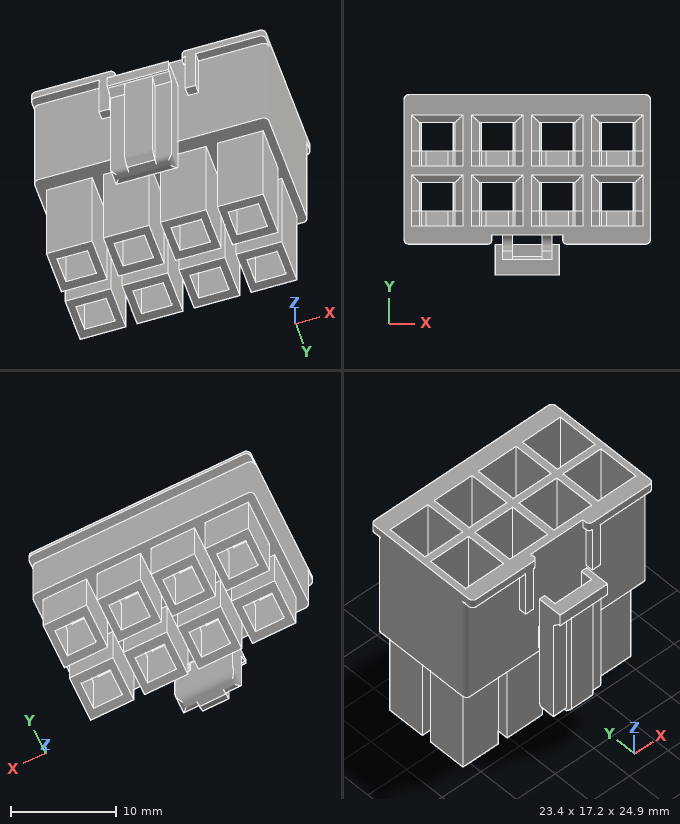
import cadquery as cq
import math


TOTAL_HEIGHT = 24.92
WIDTH = 23.45
FLANGE_DEPTH = 14.25
FLANGE_THICKNESS = 1.02
FLANGE_CORNER_RADIUS = 0.5
NOTCH_CORNER_RADIUS = 0.42
FLANGE_OVERHANG = 0.87
NOTCH_WIDTH = 6.73
BODY_BOTTOM = 10.96
BODY_CORNER_RADIUS = 0.52

RAIL_WIDTH = 1.05
RAIL_INNER_X = NOTCH_WIDTH / 2 + NOTCH_CORNER_RADIUS
RAIL_BOTTOM = 18.42

COLUMNS = 4
ROWS = 2
PITCH = 5.7
PRONG_SIZE = 4.59
PRONG_ROWS_Y = 0.27
CAVITY_SIZE = 4.88
CAVITY_ROWS_Y = -0.1
FUNNEL_TOP = 14.85
FUNNEL_INSET = 0.75
HOLE_WIDTH = 3.05
SHELF_DEPTH = 1.45
SHELF_STEP = 0.25
RAMP_WIDTH = 2.1

LEVER_WIDTH = 6.13
LEVER_TOP = 19.25
LEVER_BOTTOM = 4.3
LEVER_THICKNESS = 1.97
LEVER_BACK_RADIUS = 1.02
LEVER_EDGE_RADIUS = 0.52
HOOK_REACH = 2.92
HOOK_HEIGHT = 1.45
RIB_WIDTH = 2.8
RIB_REACH = 2.7

RECESS_WIDTH = 4.73
RECESS_DEPTH = 1.45
RECESS_HEIGHT = 4.14
RECESS_FLOOR_DEPTH = 1.15
ARM_INNER_X = RIB_WIDTH / 2
ARM_TOP = 13.53
ARM_BOTTOM = 11.95
ARM_BOTTOM_RADIUS = 0.5
CHANNEL_RADIUS = 0.8
CHANNEL_END_ANGLE = 60.0

FLANGE_BOTTOM = TOTAL_HEIGHT - FLANGE_THICKNESS
FLANGE_FRONT_Y = -FLANGE_DEPTH / 2
BODY_DEPTH = FLANGE_DEPTH - 2 * FLANGE_OVERHANG
BODY_FRONT_Y = -BODY_DEPTH / 2
LEVER_BACK_Y = FLANGE_FRONT_Y
RIB_STEP = RIB_REACH - LEVER_THICKNESS
ARM_WIDTH = RECESS_WIDTH / 2 - ARM_INNER_X


def box(x_min, x_max, y_min, y_max, z_min, z_max):
    """Box given by its limits along the three axes."""
    size = (x_max - x_min, y_max - y_min, z_max - z_min)
    return cq.Workplane("XY").box(*size, centered=False).translate((x_min, y_min, z_min))


def side_prism(points, x_min, x_max):
    """Prism along X over an outline of (y, z) points."""
    outline = cq.Workplane("YZ", origin=(x_min, 0, 0)).polyline(points).close()
    return outline.extrude(x_max - x_min)


def lever_point(reach, z):
    """(y, z) point at a given distance in front of the lever's back face."""
    return (LEVER_BACK_Y - reach, z)


def grid_centres(rows_y):
    """Centres of the terminal grid whose rows are centred on rows_y."""
    return [
        ((column - (COLUMNS - 1) / 2) * PITCH, rows_y + (row - (ROWS - 1) / 2) * PITCH)
        for column in range(COLUMNS)
        for row in range(ROWS)
    ]


def make_flange():
    half_notch = NOTCH_WIDTH / 2
    flange = box(-WIDTH / 2, WIDTH / 2, FLANGE_FRONT_Y, -FLANGE_FRONT_Y, FLANGE_BOTTOM, TOTAL_HEIGHT)
    flange = flange.cut(
        box(-half_notch, half_notch, FLANGE_FRONT_Y, BODY_FRONT_Y, FLANGE_BOTTOM, TOTAL_HEIGHT)
    )
    flange = flange.edges("|Z and (<X or >X)").fillet(FLANGE_CORNER_RADIUS)
    return flange.edges("|Z").edges("<Y").fillet(NOTCH_CORNER_RADIUS)


def make_housing():
    body = box(-WIDTH / 2, WIDTH / 2, BODY_FRONT_Y, -BODY_FRONT_Y, BODY_BOTTOM, FLANGE_BOTTOM)
    housing = body.edges("|Z").fillet(BODY_CORNER_RADIUS).union(make_flange())
    rail_outer_x = RAIL_INNER_X + RAIL_WIDTH
    rail = box(RAIL_INNER_X, rail_outer_x, FLANGE_FRONT_Y, BODY_FRONT_Y, RAIL_BOTTOM, FLANGE_BOTTOM)
    housing = housing.union(rail).union(rail.mirror("YZ"))
    prongs = (
        cq.Workplane("XY")
        .pushPoints(grid_centres(PRONG_ROWS_Y))
        .rect(PRONG_SIZE, PRONG_SIZE)
        .extrude(BODY_BOTTOM)
    )
    return housing.union(prongs)


def make_cavity():
    """Void of one terminal cavity, centred on X = 0, Y = 0."""
    half = CAVITY_SIZE / 2
    half_funnel = half - FUNNEL_INSET
    shelf_y = -half + SHELF_DEPTH
    trough_z = FUNNEL_TOP - FUNNEL_INSET
    shelf_z = trough_z - SHELF_STEP

    opening = box(-half, half, -half, half, FUNNEL_TOP, TOTAL_HEIGHT)

    funnel = (
        cq.Workplane("XY", origin=(0, 0, BODY_BOTTOM))
        .rect(2 * half_funnel, 2 * half_funnel)
        .workplane(offset=FUNNEL_TOP - BODY_BOTTOM)
        .rect(CAVITY_SIZE, CAVITY_SIZE)
        .loft(ruled=True)
    )
    funnel = funnel.intersect(box(-half, half, shelf_y, half, BODY_BOTTOM, FUNNEL_TOP))
    hole = box(-HOLE_WIDTH / 2, HOLE_WIDTH / 2, shelf_y, half_funnel, 0, BODY_BOTTOM)

    trough = (
        cq.Workplane("XZ", origin=(0, shelf_y, 0))
        .moveTo(-half, FUNNEL_TOP)
        .lineTo(-half_funnel, trough_z)
        .lineTo(half_funnel, trough_z)
        .lineTo(half, FUNNEL_TOP)
        .close()
        .extrude(SHELF_DEPTH)
    )
    shelf = box(-HOLE_WIDTH / 2, HOLE_WIDTH / 2, -half, shelf_y, shelf_z, trough_z)
    ramp_points = [(-half, shelf_z), (shelf_y, shelf_z), (shelf_y, shelf_z - SHELF_DEPTH)]
    ramp = side_prism(ramp_points, -RAMP_WIDTH / 2, RAMP_WIDTH / 2)
    return opening.union(funnel).union(hole).union(trough).union(shelf).union(ramp)


def make_lever_plate():
    """Lever body: a plate with rounded lower edges."""
    plate = box(
        -LEVER_WIDTH / 2, LEVER_WIDTH / 2,
        LEVER_BACK_Y - LEVER_THICKNESS, LEVER_BACK_Y,
        LEVER_BOTTOM, LEVER_TOP,
    )
    face_rounded = plate.faces("<Z").edges(">Y").fillet(LEVER_BACK_RADIUS)
    face_rounded = face_rounded.faces("<Z").edges("<Y").fillet(LEVER_EDGE_RADIUS)
    side_rounded = plate.faces("<Z").edges("|Y").fillet(LEVER_EDGE_RADIUS)
    return face_rounded.intersect(side_rounded)


def make_lever_front():
    """Hook across the top of the lever with its 45 degree underside, and the central rib."""
    hook_bottom = LEVER_TOP - HOOK_HEIGHT
    hook = side_prism(
        [
            lever_point(LEVER_THICKNESS, LEVER_TOP),
            lever_point(HOOK_REACH, LEVER_TOP),
            lever_point(HOOK_REACH, hook_bottom),
            lever_point(RIB_REACH, hook_bottom),
            lever_point(LEVER_THICKNESS, hook_bottom - RIB_STEP),
        ],
        -LEVER_WIDTH / 2,
        LEVER_WIDTH / 2,
    )
    plate_core = LEVER_THICKNESS - LEVER_EDGE_RADIUS
    rib_foot = LEVER_BOTTOM + RIB_STEP
    rib = side_prism(
        [
            lever_point(plate_core, hook_bottom),
            lever_point(RIB_REACH, hook_bottom),
            lever_point(RIB_REACH, rib_foot),
            lever_point(LEVER_THICKNESS, LEVER_BOTTOM),
            lever_point(plate_core, LEVER_BOTTOM),
        ],
        -RIB_WIDTH / 2,
        RIB_WIDTH / 2,
    )
    foot_edge = cq.selectors.NearestToPointSelector((0, LEVER_BACK_Y - RIB_REACH, rib_foot))
    rib = rib.edges("|X").edges(foot_edge).fillet(LEVER_EDGE_RADIUS)
    return hook.union(rib)


def make_pocket():
    """Tapered pocket in the back of the lever, between the arms."""
    pocket_floor = LEVER_TOP - RECESS_HEIGHT
    return side_prism(
        [
            lever_point(0, LEVER_TOP),
            lever_point(RECESS_DEPTH, LEVER_TOP),
            lever_point(RECESS_FLOOR_DEPTH, pocket_floor),
            lever_point(0, pocket_floor),
        ],
        -ARM_INNER_X,
        ARM_INNER_X,
    )


def make_channel():
    """Void above the +X arm: round at the bottom, with a sloping wall in the lever."""
    centre_y = BODY_FRONT_Y - CHANNEL_RADIUS
    centre_z = ARM_TOP + CHANNEL_RADIUS
    end_angle = math.radians(CHANNEL_END_ANGLE)
    end_y = centre_y - CHANNEL_RADIUS * math.sin(end_angle)
    end_z = centre_z - CHANNEL_RADIUS * math.cos(end_angle)
    return (
        cq.Workplane("YZ", origin=(ARM_INNER_X, 0, 0))
        .moveTo(BODY_FRONT_Y, LEVER_TOP)
        .lineTo(*lever_point(RECESS_DEPTH, LEVER_TOP))
        .lineTo(end_y, end_z)
        .threePointArc((centre_y, ARM_TOP), (BODY_FRONT_Y, centre_z))
        .close()
        .extrude(ARM_WIDTH)
    )


def make_arm():
    """Block of the +X arm before its channel is cut, flared below where it meets the housing."""
    flare_middle = ARM_BOTTOM_RADIUS * (1 - math.sqrt(0.5))
    block_top = ARM_TOP + CHANNEL_RADIUS
    return (
        cq.Workplane("YZ", origin=(ARM_INNER_X, 0, 0))
        .moveTo(LEVER_BACK_Y, block_top)
        .lineTo(BODY_FRONT_Y, block_top)
        .lineTo(BODY_FRONT_Y, ARM_BOTTOM - ARM_BOTTOM_RADIUS)
        .threePointArc(
            (BODY_FRONT_Y - flare_middle, ARM_BOTTOM - flare_middle),
            (BODY_FRONT_Y - ARM_BOTTOM_RADIUS, ARM_BOTTOM),
        )
        .lineTo(LEVER_BACK_Y, ARM_BOTTOM)
        .close()
        .extrude(ARM_WIDTH)
    )


def make_latch():
    arm = make_arm()
    channel = make_channel()
    lever = make_lever_plate().union(make_lever_front()).cut(make_pocket())
    latch = lever.union(arm).union(arm.mirror("YZ"))
    return latch.cut(channel).cut(channel.mirror("YZ"))


housing = make_housing()
cavity = make_cavity()
for x, y in grid_centres(CAVITY_ROWS_Y):
    housing = housing.cut(cavity.translate((x, y, 0)))

result = housing.union(make_latch())